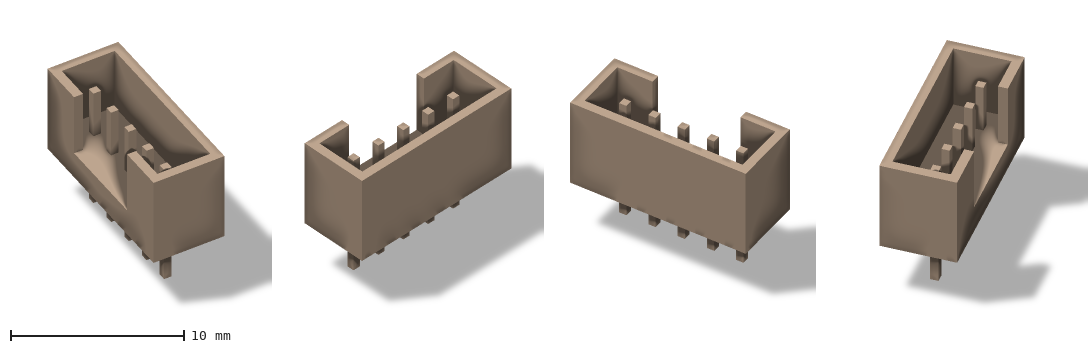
import cadquery as cq

length = 12.0
depth = 4.75
height = 6.0
wall = 0.6
floor_thickness = 1.8

notch_width = length / 2

pin_count = 5
pin_pitch = length / 6
pin_size = 0.5
pin_top = 4.99
pin_tail = 3.2
pin_front_distance = 1.99

front_y = -depth / 2
pin_y = front_y + pin_front_distance


def upright_box(size_x, size_y, z_bottom, z_top, y_center=0.0):
    """Box centred on X, spanning the given heights."""
    return (
        cq.Workplane("XY", origin=(0, y_center, z_bottom))
        .rect(size_x, size_y)
        .extrude(z_top - z_bottom)
    )


def make_housing():
    block = upright_box(length, depth, 0, height)
    cavity = upright_box(length - 2 * wall, depth - 2 * wall, floor_thickness, height)
    notch = upright_box(notch_width, 2 * wall, floor_thickness, height, front_y + wall)
    return block.cut(cavity).cut(notch)


def make_pins():
    return (
        cq.Workplane("XY", origin=(0, pin_y, -pin_tail))
        .rarray(pin_pitch, 0.12, pin_count, 1)
        .rect(pin_size, pin_size)
        .extrude(pin_tail + pin_top)
    )


result = make_housing().union(make_pins())